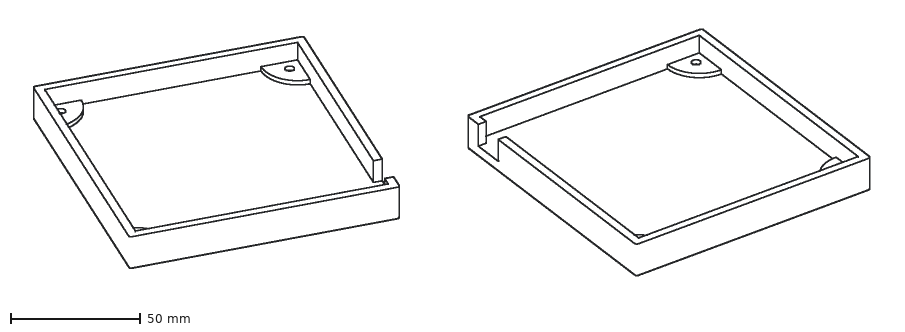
import cadquery as cq

length = 114.5
width = 111.0
height = 15.0
edge_radius = 1.0

side_wall = 3.4
end_wall = 3.7
floor_thickness = 5.0

notch_width = 13.4
notch_to_side = 7.7

pad_radius = 15.0
pad_height = 2.0
hole_diameter = 3.7
hole_inset = 4.9

inner_length = length - 2 * side_wall
inner_width = width - 2 * end_wall
wall_height = height - floor_thickness


def box_on(base_height, size_x, size_y, size_z):
    """Box centred on the Z axis, standing on the given height."""
    box = cq.Workplane("XY").box(size_x, size_y, size_z, centered=(True, True, False))
    return box.translate((0, 0, base_height))


def corner_pad(x_side, y_side):
    """Quarter-round pad filling one inner corner, with its hole."""
    corner_x = x_side * inner_length / 2
    corner_y = y_side * inner_width / 2
    floor = cq.Workplane("XY").workplane(offset=floor_thickness)
    disc = floor.center(corner_x, corner_y).circle(pad_radius).extrude(pad_height)
    hole_x = corner_x - x_side * hole_inset
    hole_y = corner_y - y_side * hole_inset
    hole = floor.center(hole_x, hole_y).circle(hole_diameter / 2).extrude(pad_height)
    return disc.intersect(cavity).cut(hole)


body = box_on(0, length, width, height)
body = body.edges("|Z or <Z").fillet(edge_radius)

cavity = box_on(floor_thickness, inner_length, inner_width, wall_height)
tray = body.cut(cavity)

notch_x = length / 2 - notch_to_side - notch_width / 2
notch_y = (width - end_wall) / 2
notch = box_on(floor_thickness, notch_width, end_wall, wall_height)
tray = tray.cut(notch.translate((notch_x, notch_y, 0)))

for x_side, y_side in [(-1, -1), (1, -1), (-1, 1)]:
    tray = tray.union(corner_pad(x_side, y_side))

result = tray